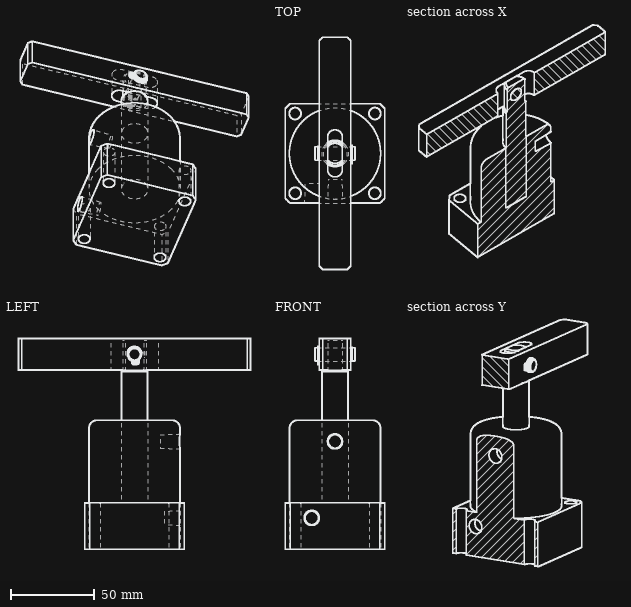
import cadquery as cq

base_side = 60.0
base_height = 28.0
base_corner_chamfer = 3.0
bolt_spacing = 48.0
bolt_hole_diameter = 7.0
cylinder_diameter = 55.0
cylinder_top = 77.8
cylinder_top_fillet = 5.0

port_mouth_diameter = 9.1
port_end_diameter = 8.1
port_depth = 12.0
upper_port_x = 0.0
upper_port_z = 65.0
lower_port_x = -14.0
lower_port_z = 18.9

arm_length = 140.0
arm_section = 19.0
arm_top = 127.0
arm_bottom = arm_top - arm_section
arm_end_chamfer = 2.1
slot_length = 28.4
slot_width = 9.0

rod_diameter = 16.0
rod_bottom = base_height
shoulder_chamfer = 0.8
shoulder_gap = 0.3
rod_shoulder = arm_bottom - shoulder_gap
tongue_diameter = rod_diameter - 2 * shoulder_chamfer
tongue_width = slot_width
tongue_chamfer = 1.1
tongue_top = arm_top

pin_diameter = 8.1
pin_length = 24.6
pin_end_chamfer = 0.5
pin_z = arm_bottom + arm_section / 2
groove_diameter = 7.3

ring_thickness = 0.8
ring_outer_radius = 4.3
ring_eccentricity = 0.4
ear_reach = 6.3
ear_half_width = 2.2
ear_corner_fillet = 1.5
ear_gap = 0.8
ear_hole_diameter = 1.1
ear_hole_offset = 1.3
ear_hole_reach = 5.0
ring_inner_face = arm_section / 2
left_ring_angle = 7.0
right_ring_angle = 90.0


def upright_cylinder(diameter, bottom, top):
    """Cylinder on the Z axis between two heights."""
    return cq.Workplane("XY").workplane(offset=bottom).circle(diameter / 2).extrude(top - bottom)


def port_cutter(x, z, face_y):
    """Blind tapered port going in +Y from its full diameter at face_y."""
    mouth = cq.Workplane("XZ", origin=(x, face_y, z)).circle(port_mouth_diameter / 2)
    return mouth.workplane(offset=-port_depth).circle(port_end_diameter / 2).loft()


def cross_bore():
    """Full-length cylinder along X that clears the pin through arm and tongue."""
    bore = cq.Workplane("YZ").center(0, pin_z).circle(pin_diameter / 2)
    return bore.extrude(arm_section, both=True)


def make_housing():
    base = (
        cq.Workplane("XY")
        .rect(base_side, base_side)
        .extrude(base_height)
        .edges("|Z")
        .chamfer(base_corner_chamfer)
        .faces(">Z")
        .workplane()
        .rect(bolt_spacing, bolt_spacing, forConstruction=True)
        .vertices()
        .hole(bolt_hole_diameter)
    )
    cylinder = upright_cylinder(cylinder_diameter, base_height, cylinder_top)
    cylinder = cylinder.faces(">Z").edges().fillet(cylinder_top_fillet)
    housing = base.union(cylinder)
    housing = housing.cut(upright_cylinder(rod_diameter, rod_bottom, cylinder_top))
    housing = housing.cut(port_cutter(upper_port_x, upper_port_z, -cylinder_diameter / 2))
    return housing.cut(port_cutter(lower_port_x, lower_port_z, -base_side / 2))


def make_arm():
    arm = (
        cq.Workplane("XY")
        .workplane(offset=arm_bottom)
        .rect(arm_section, arm_length)
        .extrude(arm_section)
        .edges("|Z")
        .chamfer(arm_end_chamfer)
        .faces(">Z")
        .workplane()
        .slot2D(slot_length, slot_width, 90)
        .cutThruAll()
    )
    return arm.cut(cross_bore())


def make_rod():
    shaft = upright_cylinder(rod_diameter, rod_bottom, rod_shoulder)
    shaft = shaft.faces(">Z").chamfer(shoulder_chamfer)
    tongue = upright_cylinder(tongue_diameter, rod_shoulder, tongue_top)
    tongue = tongue.faces(">Z").chamfer(tongue_chamfer)
    flats = (
        cq.Workplane("XY")
        .workplane(offset=rod_shoulder)
        .rect(tongue_width, rod_diameter)
        .extrude(tongue_top - rod_shoulder)
    )
    return shaft.union(tongue.intersect(flats)).cut(cross_bore())


def make_pin():
    pin = (
        cq.Workplane("YZ")
        .circle(pin_diameter / 2)
        .extrude(pin_length / 2, both=True)
        .faces("<X or >X")
        .chamfer(pin_end_chamfer)
    )
    for groove_start in (ring_inner_face, -ring_inner_face - ring_thickness):
        groove = (
            cq.Workplane("YZ")
            .workplane(offset=groove_start)
            .circle(pin_diameter / 2)
            .circle(groove_diameter / 2)
            .extrude(ring_thickness)
        )
        pin = pin.cut(groove)
    return pin.translate((0, 0, pin_z))


def make_ring(start_x, ear_angle):
    """Ring in a pin groove; ears point to -Z, then turn by ear_angle from -Z toward -Y."""
    plane = cq.Workplane("YZ").workplane(offset=start_x)
    body = plane.center(0, ring_eccentricity).circle(ring_outer_radius).extrude(ring_thickness)
    ears = (
        plane.center(0, -ear_reach / 2)
        .rect(2 * ear_half_width, ear_reach)
        .extrude(ring_thickness)
        .edges("|X and <Z")
        .fillet(ear_corner_fillet)
    )
    gap = plane.center(0, -ear_reach / 2).rect(ear_gap, ear_reach).extrude(ring_thickness)
    holes = (
        plane.pushPoints([(-ear_hole_offset, -ear_hole_reach), (ear_hole_offset, -ear_hole_reach)])
        .circle(ear_hole_diameter / 2)
        .extrude(ring_thickness)
    )
    opening = plane.circle(groove_diameter / 2).extrude(ring_thickness)
    ring = body.union(ears).cut(gap).cut(holes).cut(opening)
    return ring.rotate((0, 0, 0), (1, 0, 0), -ear_angle).translate((0, 0, pin_z))


housing = make_housing()
arm = make_arm()
rod = make_rod()
pin = make_pin()
ring_places = [
    (-ring_inner_face - ring_thickness, left_ring_angle),
    (ring_inner_face, right_ring_angle),
]
rings = [make_ring(start_x, ear_angle) for start_x, ear_angle in ring_places]

result = cq.Compound.makeCompound(
    [body.solids().val() for body in (housing, arm, rod, pin, *rings)]
)